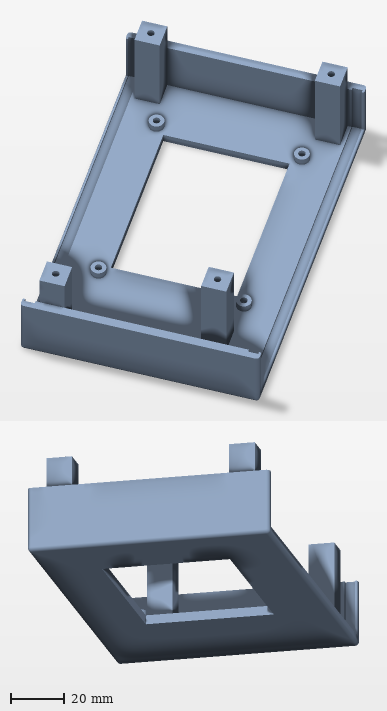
import cadquery as cq

length_x = 94.0
width_y = 142.0
wall_height = 25.0
total_height = 37.5
thickness = 3.5
outer_round = 1.4

lip_thickness = 1.0
lip_round = 0.5
groove_width = 4.0
groove_depth = 1.0

window_x = 49.7
window_y = 68.9
window_center_y = 8.8

post_side = 10.0
post_x = 35.5
post_y = width_y / 2 - thickness - post_side / 2
post_centers = [(-post_x, post_y), (post_x, post_y), (-post_x, -post_y), (23.7, -47.5)]
boss_diameter = 6.0
boss_height = 3.0
boss_spacing_x = 57.2
boss_spacing_y = 76.3
screw_hole_diameter = 2.8


def box_from(z, size_x, size_y, height):
    """Box centred on X and Y whose underside is at z."""
    return cq.Workplane("XY").workplane(offset=z).box(
        size_x, size_y, height, centered=(True, True, False)
    )


def make_tray():
    """U-shaped tray: a floor with end walls at -Y and +Y, open at -X and +X."""
    outer = box_from(0, length_x, width_y, wall_height)
    outer = outer.edges("|Z or <Z").fillet(outer_round)
    inside = box_from(thickness, length_x, width_y - 2 * thickness, wall_height)
    return outer.cut(inside)


def round_lip_edges(tray):
    """Round the inner U-shaped edge of both open sides."""
    half_inside = width_y / 2 - thickness
    reach = 0.1
    inner_edges = cq.selectors.BoxSelector(
        (-length_x, -half_inside - reach, thickness - reach),
        (length_x, half_inside + reach, wall_height - reach),
    )
    return tray.edges("(not |X) and (<X or >X)").edges(inner_edges).fillet(lip_round)


def cut_panel_grooves(tray):
    groove_x = length_x / 2 - lip_thickness - groove_width / 2
    groove = box_from(
        thickness - groove_depth,
        groove_width,
        width_y - 2 * (thickness - groove_depth),
        wall_height,
    )
    for side in (-1, 1):
        tray = tray.cut(groove.translate((side * groove_x, 0, 0)))
    return tray


def cut_window(tray):
    window = box_from(0, window_x, window_y, thickness)
    return tray.cut(window.translate((0, window_center_y, 0)))


def add_posts(tray):
    floor = cq.Workplane("XY").workplane(offset=thickness).pushPoints(post_centers)
    post_height = total_height - thickness
    posts = floor.rect(post_side, post_side).extrude(post_height)
    holes = floor.circle(screw_hole_diameter / 2).extrude(post_height)
    return tray.union(posts).cut(holes)


def add_bosses(tray):
    floor = (
        cq.Workplane("XY", origin=(0, window_center_y, thickness))
        .rarray(boss_spacing_x, boss_spacing_y, 2, 2)
    )
    bosses = floor.circle(boss_diameter / 2).extrude(boss_height)
    holes = floor.circle(screw_hole_diameter / 2).extrude(boss_height)
    return tray.union(bosses).cut(holes)


tray = round_lip_edges(make_tray())
tray = cut_panel_grooves(tray)
tray = cut_window(tray)
tray = add_posts(tray)
result = add_bosses(tray)